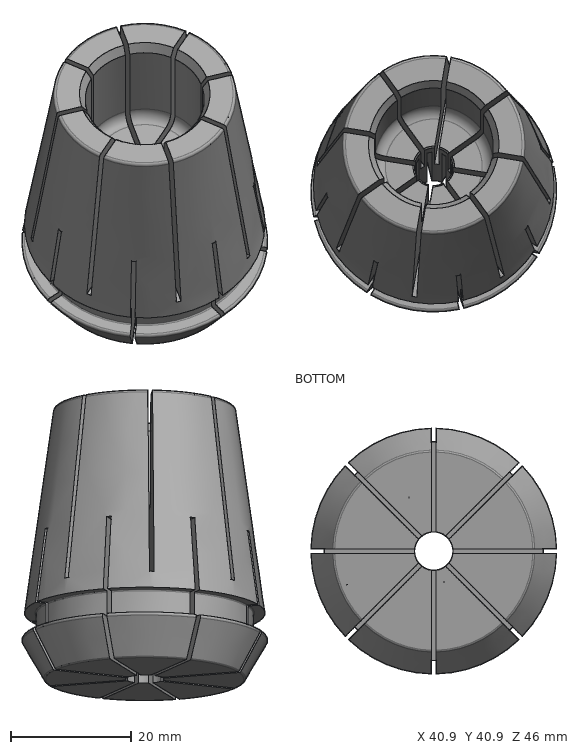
import cadquery as cq
import math

height = 46.0
flange_bottom_radius = 16.7
flange_angle = 30.0
flange_height = 7.0
flange_rim_fillet = 0.4
flange_bottom_fillet = 0.35

neck_radius = 18.1
neck_top = 11.22
neck_fillet = 0.2

cone_base_radius = 20.0
cone_angle = 8.0
top_fillet = 0.5

bore_radius = 9.9
bore_floor = 27.6
bore_floor_fillet = 1.85
bore_mouth_radius = 10.85
bore_mouth_depth = 1.5
hole_diameter = 6.35
hole_chamfer = 0.28

slot_count = 8
slot_width = 0.8
bottom_slot_top = 23.9
top_slot_floor = 14.05

flange_radius = flange_bottom_radius + flange_height * math.tan(math.radians(flange_angle))
top_radius = cone_base_radius - (height - neck_top) * math.tan(math.radians(cone_angle))
slot_reach = flange_radius + 0.45


def round_edge(body, z, radius, fillet):
    """Fillet the circular edge that has the given height and radius."""
    tolerance = 0.005
    reach = radius + tolerance
    within_reach = cq.selectors.BoxSelector(
        (-reach, -reach, z - tolerance), (reach, reach, z + tolerance), boundingbox=True
    )
    largest = cq.selectors.RadiusNthSelector(-1)
    return body.edges(within_reach).edges(largest).fillet(fillet)


def make_body():
    """Revolve the flange, neck and long cone, then round their edges."""
    outline = [
        (0, 0),
        (flange_bottom_radius, 0),
        (flange_radius, flange_height),
        (neck_radius, flange_height),
        (neck_radius, neck_top),
        (cone_base_radius, neck_top),
        (top_radius, height),
        (0, height),
    ]
    body = cq.Workplane("XZ").polyline(outline).close().revolve(360, (0, 0), (0, 1))
    body = round_edge(body, height, top_radius, top_fillet)
    body = round_edge(body, neck_top, neck_radius, neck_fillet)
    body = round_edge(body, flange_height, neck_radius, neck_fillet)
    body = round_edge(body, flange_height, flange_radius, flange_rim_fillet)
    return round_edge(body, 0, flange_bottom_radius, flange_bottom_fillet)


def make_bore():
    """Bore with a rounded floor and flared mouth, above a chamfered through hole."""
    hole_radius = hole_diameter / 2
    fillet_inset = bore_floor_fillet * (1 - math.sqrt(0.5))
    return (
        cq.Workplane("XZ")
        .lineTo(hole_radius, 0)
        .lineTo(hole_radius, bore_floor - hole_chamfer)
        .lineTo(hole_radius + hole_chamfer, bore_floor)
        .lineTo(bore_radius - bore_floor_fillet, bore_floor)
        .threePointArc(
            (bore_radius - fillet_inset, bore_floor + fillet_inset),
            (bore_radius, bore_floor + bore_floor_fillet),
        )
        .lineTo(bore_radius, height - bore_mouth_depth)
        .lineTo(bore_mouth_radius, height)
        .lineTo(0, height)
        .close()
        .revolve(360, (0, 0), (0, 1))
    )


def make_slots(z_low, z_high, start_angle):
    """Ring of radial slots that run from the axis out through the wall."""
    pitch = 360 / slot_count
    base = cq.Workplane("XY").workplane(offset=z_low)
    blade = base.rect(2 * slot_reach, slot_width).extrude(z_high - z_low)
    slots = blade.rotate((0, 0, 0), (0, 0, 1), start_angle)
    for index in range(1, slot_count // 2):
        slots = slots.union(blade.rotate((0, 0, 0), (0, 0, 1), start_angle + index * pitch))
    return slots


half_pitch = 180 / slot_count
result = (
    make_body()
    .cut(make_bore())
    .cut(make_slots(0, bottom_slot_top, 0))
    .cut(make_slots(top_slot_floor, height, half_pitch))
)